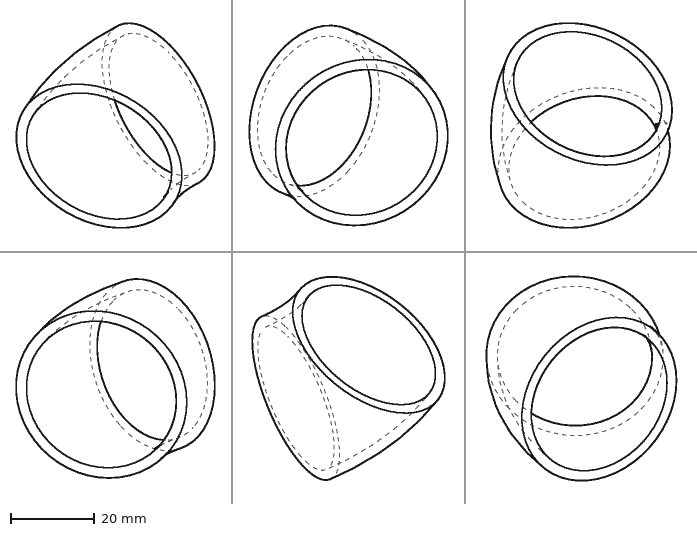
import cadquery as cq
import math

overall_length = 45.9
bend_radius = 47.5
bend_angle = 30.0
wall_thickness = 2.6

cos_bend = math.cos(math.radians(bend_angle))
outer_radius = (overall_length - bend_radius * (1 - cos_bend)) / (1 + cos_bend)
inner_radius = outer_radius - wall_thickness

bend_axis_start = (bend_radius, 0)
bend_axis_end = (bend_radius, -1)

result = (
    cq.Workplane("XZ")
    .circle(outer_radius)
    .circle(inner_radius)
    .revolve(bend_angle, bend_axis_start, bend_axis_end)
)